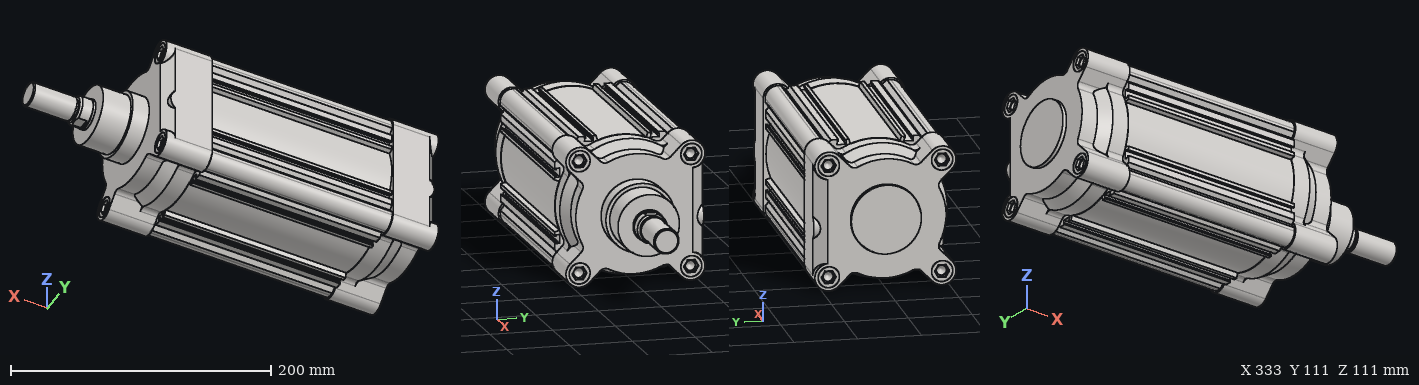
import cadquery as cq
import math


total_length = 333.0
spigot_length = 3.3
cap_length = 40.0
barrel_length = 158.5
collar_length = 14.3
gland_length = 24.3
lip_length = 2.0

rear_face_x = spigot_length
barrel_start_x = rear_face_x + cap_length
barrel_end_x = barrel_start_x + barrel_length
front_face_x = barrel_end_x + cap_length
collar_end_x = front_face_x + collar_length
gland_end_x = collar_end_x + gland_length
lip_end_x = gland_end_x + lip_length

lug_pitch = 89.0
lug_radius = 11.0
lug_offset = lug_pitch / 2
side_offset = lug_offset + lug_radius
outer_hub_radius = 47.5
inner_hub_radius = 53.5
arm_fillet = 5.0
cone_start = 14.5
cone_end = 25.0

ramp_rise = 10.0
ramp_run = 7.5
slab_root = 33.3
port_radius = 11.5
port_inset = 15.3
port_z = -6.3
port_height = 13.3

head_diameter = 16.5
head_recess = 0.3
socket_across_flats = 10.0
socket_depth = 2.5
socket_tip_diameter = 8.0
socket_tip_angle = 90.0

collar_diameter = 55.0
gland_diameter = 49.0
lip_diameter = 25.0

tube_radius = 53.3
side_height = 53.5
corner_height = 54.0
rib_foot = 19.3
rib_top = 20.5
slot_center = 26.3
slot_mouth = 5.0
slot_width = 7.0
slot_floor_height = 49.5
slot_lip_height = 52.3
groove_inner = 34.5
groove_bottom = 37.5
groove_bottom_height = 50.5
groove_outer = 41.5

rod_diameter = 24.0
rod_flats = 22.0
flats_start_x = 284.0
rod_shoulder_x = 293.0
rod_chamfer = 1.5
undercut_diameter = 16.5
undercut_length = 2.3
thread_diameter = 20.0
thread_chamfer = 1.0

CORNER_ANGLES = [45, 135, 225, 315]


def turned(point, degrees):
    """Rotate a (Y, Z) point about the cylinder axis."""
    a = math.radians(degrees)
    y, z = point
    return (y * math.cos(a) - z * math.sin(a), y * math.sin(a) + z * math.cos(a))


def section_plane(x):
    """Workplane across the axis at x, with local axes along Y and Z."""
    return cq.Workplane("YZ", origin=(x, 0, 0))


def disc(x, length, diameter):
    """Round cylinder on the axis, starting at x."""
    return section_plane(x).circle(diameter / 2).extrude(length)


def lug_points():
    """(Y, Z) centres of the four lugs."""
    return [(y, z) for y in (-lug_offset, lug_offset) for z in (-lug_offset, lug_offset)]


def cap_prism(x_start, x_end, hub_radius):
    """Hub with four lug arms whose flanks blend into the hub by concave fillets."""
    fillet_side = lug_radius + arm_fillet
    fillet_out = math.sqrt((hub_radius + arm_fillet) ** 2 - fillet_side ** 2)
    to_hub = hub_radius / (hub_radius + arm_fillet)
    hub_point = (fillet_out * to_hub, fillet_side * to_hub)
    flank_point = (fillet_out, lug_radius)
    mid_angle = (math.atan2(-fillet_side, -fillet_out) - math.pi / 2) / 2
    fillet_mid = (
        fillet_out + arm_fillet * math.cos(mid_angle),
        fillet_side + arm_fillet * math.sin(mid_angle),
    )
    lug_out = lug_offset * math.sqrt(2)
    lug_side = (lug_out, lug_radius)
    lug_tip = (lug_out + lug_radius, 0)

    def opposite(point):
        return (point[0], -point[1])

    outline = section_plane(x_start).moveTo(*turned(opposite(hub_point), CORNER_ANGLES[0]))
    for angle in CORNER_ANGLES:
        outline = (
            outline
            .threePointArc(turned(opposite(fillet_mid), angle), turned(opposite(flank_point), angle))
            .lineTo(*turned(opposite(lug_side), angle))
            .threePointArc(turned(lug_tip, angle), turned(lug_side, angle))
            .lineTo(*turned(flank_point, angle))
            .threePointArc(turned(fillet_mid, angle), turned(hub_point, angle))
            .threePointArc(
                turned((hub_radius, 0), angle + 45),
                turned(opposite(hub_point), angle + 90),
            )
        )
    return outline.close().extrude(x_end - x_start)


def hub_cone():
    """Conical step from the narrow outer hub to the wide inner hub."""
    x_narrow = rear_face_x + cone_start
    x_wide = rear_face_x + cone_end
    return (
        cq.Workplane("XY")
        .polyline([(x_narrow, 0), (x_narrow, outer_hub_radius), (x_wide, inner_hub_radius), (x_wide, 0)])
        .close()
        .revolve(360, (0, 0, 0), (1, 0, 0))
    )


def port_slab():
    """Slab that makes the +Y side of the cap flat."""
    return cq.Workplane("XY").box(
        cap_length, side_offset - slab_root, lug_pitch, centered=(False, False, True)
    ).translate((rear_face_x, slab_root, 0))


def port_ramp():
    """Wedge removed between the outer face and the flat +Y side."""
    return (
        cq.Workplane("XY", origin=(0, 0, -lug_offset))
        .polyline([
            (rear_face_x, side_offset - ramp_rise),
            (rear_face_x, side_offset),
            (rear_face_x + ramp_run, side_offset),
        ])
        .close()
        .extrude(lug_pitch)
    )


def port_boss():
    """Round boss flush with the flat +Y side that stands out of the ramp."""
    return (
        cq.Workplane("XZ", origin=(rear_face_x + port_inset, side_offset, port_z))
        .circle(port_radius)
        .extrude(port_height)
    )


def lug_cylinders():
    """Full round lugs, restored where the ramp is cut."""
    return section_plane(rear_face_x).pushPoints(lug_points()).circle(lug_radius).extrude(cap_length)


def screw_sockets():
    """Shallow head recesses and hex sockets with conical bottoms, one in each lug."""
    tip_radius = socket_tip_diameter / 2
    tip_length = tip_radius / math.tan(math.radians(socket_tip_angle / 2))
    floor_x = rear_face_x + head_recess + socket_depth
    recesses = (
        section_plane(rear_face_x)
        .pushPoints(lug_points())
        .circle(head_diameter / 2)
        .extrude(head_recess)
    )
    sockets = (
        section_plane(rear_face_x)
        .transformed(rotate=(0, 0, 90))
        .pushPoints(lug_points())
        .polygon(6, socket_across_flats, circumscribed=True)
        .extrude(head_recess + socket_depth)
    )
    cutters = recesses.union(sockets)
    for y, z in lug_points():
        tip = cq.Solid.makeCone(
            tip_radius, 0, tip_length, pnt=cq.Vector(floor_x, y, z), dir=cq.Vector(1, 0, 0)
        )
        cutters = cutters.union(cq.Workplane(tip))
    return cutters


def cap_block():
    """Cap in its rear position, without the round features on its outer face."""
    return (
        cap_prism(rear_face_x, barrel_start_x, outer_hub_radius)
        .union(cap_prism(rear_face_x + cone_end, barrel_start_x, inner_hub_radius))
        .union(hub_cone())
        .union(port_slab())
        .cut(port_ramp())
        .union(port_boss())
        .union(lug_cylinders())
        .cut(screw_sockets())
    )


def make_rear_cap():
    return cap_block().union(disc(0, spigot_length, collar_diameter))


def make_front_cap():
    """Mirrored cap block with collar, gland and wiper lip, bored for the rod."""
    barrel_middle_x = (barrel_start_x + barrel_end_x) / 2
    return (
        cap_block()
        .mirror("YZ", (barrel_middle_x, 0, 0))
        .union(disc(front_face_x, collar_length, collar_diameter))
        .union(disc(collar_end_x, gland_length, gland_diameter))
        .union(disc(gland_end_x, lip_length, lip_diameter))
        .cut(disc(barrel_end_x, lip_end_x - barrel_end_x, rod_diameter))
    )


def make_barrel():
    """Round tube with four rounded corners and two T-slots on every side."""
    half_mouth = slot_mouth / 2
    half_slot = slot_width / 2
    rib_foot_height = math.sqrt(tube_radius ** 2 - rib_foot ** 2)
    half_side = [
        (rib_foot, rib_foot_height),
        (rib_top, side_height),
        (slot_center - half_mouth, side_height),
        (slot_center - half_mouth, slot_lip_height),
        (slot_center - half_slot, slot_lip_height),
        (slot_center - half_slot, slot_floor_height),
        (slot_center + half_slot, slot_floor_height),
        (slot_center + half_slot, slot_lip_height),
        (slot_center + half_mouth, slot_lip_height),
        (slot_center + half_mouth, side_height),
        (groove_inner, side_height),
        (groove_bottom, groove_bottom_height),
        (groove_outer, corner_height),
        (lug_offset, corner_height),
    ]
    mirrored_half = [(-along, height) for along, height in reversed(half_side)]
    corner_out = lug_offset + (corner_height - lug_offset) / math.sqrt(2)

    outline = section_plane(barrel_start_x).moveTo(*mirrored_half[0])
    for angle in (0, -90, -180, -270):
        for point in mirrored_half[1:]:
            outline = outline.lineTo(*turned(point, angle))
        outline = outline.threePointArc(turned((0, tube_radius), angle), turned(half_side[0], angle))
        for point in half_side[1:]:
            outline = outline.lineTo(*turned(point, angle))
        outline = outline.threePointArc(
            turned((corner_out, corner_out), angle),
            turned(mirrored_half[0], angle - 90),
        )
    return outline.close().extrude(barrel_length)


def make_rod():
    """Piston rod with wrench flats, a thread undercut and a chamfered threaded end."""
    undercut_end_x = rod_shoulder_x + undercut_length
    shank = disc(barrel_end_x, rod_shoulder_x - barrel_end_x, rod_diameter).faces(">X").chamfer(rod_chamfer)
    undercut = disc(rod_shoulder_x, undercut_length, undercut_diameter)
    thread = (
        disc(undercut_end_x, total_length - undercut_end_x, thread_diameter)
        .faces(">X").chamfer(thread_chamfer)
    )
    flats_length = rod_shoulder_x - flats_start_x
    flats = (
        section_plane(flats_start_x)
        .rect(rod_diameter, rod_diameter)
        .extrude(flats_length)
        .cut(section_plane(flats_start_x).rect(rod_diameter, rod_flats).extrude(flats_length))
    )
    return shank.cut(flats).union(undercut).union(thread)


rear_cap = make_rear_cap()
barrel = make_barrel()
front_cap = make_front_cap()
rod = make_rod()

bodies = [rear_cap, barrel, front_cap, rod]
result = cq.Compound.makeCompound([body.solids().val() for body in bodies])